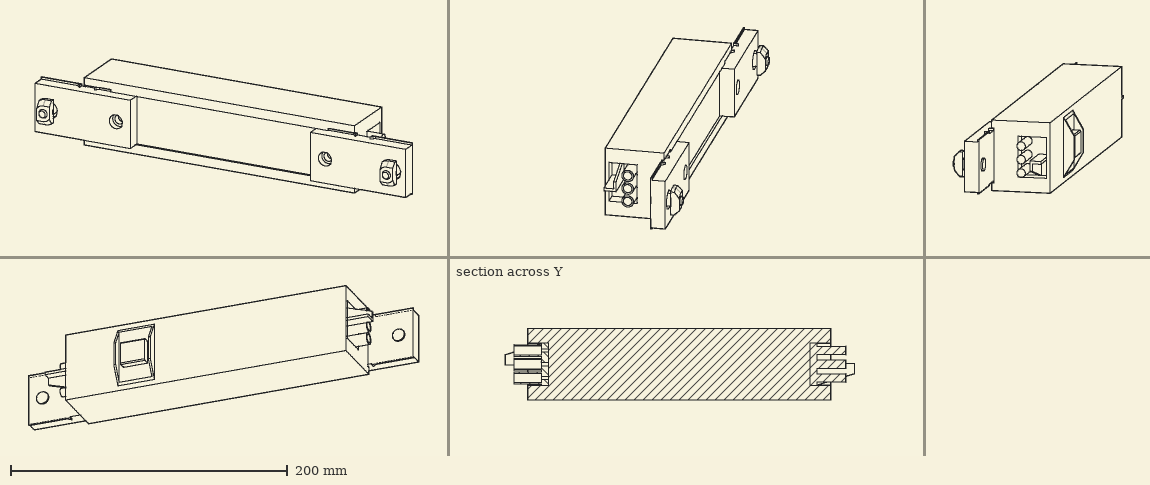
import cadquery as cq

overall_length = 300.5

housing_length = 219.0
housing_depth = 43.5
housing_height = 52.0
housing_center_x = -5.5
housing_left = housing_center_x - housing_length / 2
housing_right = housing_center_x + housing_length / 2

plate_length = 77.2
plate_height = 37.2
plate_seat_depth = 1.8
plate_front = -9.0

flange_top = 20.0
flange_bottom = -19.5
flange_thickness = 1.0
flange_pocket_height = 40.5
flange_pocket_length = 21.3
flange_gap_inner = 105.7
flange_gap_outer = 117.7
ear_length = 2.7
ear_tip_y = -1.8

counterbore_depth = 5.5
mount_hole_x = 84.7
mount_hole_diameter = 7.0
mount_counterbore_diameter = 10.5

bolt_x = 139.0
bolt_diameter = 9.3
bolt_rear = 3.0
bolt_counterbore_diameter = 13.8
bolt_tip_front = -19.5
bolt_tip_base_diameter = 6.5
bolt_tip_diameter = 5.0

nut_rear = -11.7
nut_taper_start = -14.5
nut_front = -18.0
nut_half_width = 5.0
nut_half_length = 9.5
nut_front_half_length = 6.0

socket_width = 21.0
socket_height = 30.0
socket_open_depth = 10.0
connector_base_thickness = 5.0
socket_front = 19.8
socket_rear = socket_front + socket_width

pole_count = 3
pole_pitch = 10.0
pole_y = 24.5
sleeve_length = 10.0
sleeve_diameter = 8.7
sleeve_bore = 6.3
contact_bore = 2.0
pin_length = 10.8
pin_diameter = 6.3

female_latch_length = 16.2
female_latch_front = 31.8
male_latch_length = 17.0
male_latch_front = 32.7
latch_bottom = -0.5
latch_top = 1.5
latch_web_thickness = 1.8
latch_web_tip = 7.0

clip_center_x = 49.0
clip_width = 28.5
clip_base_height = 44.2
clip_tip_height = 17.5
clip_depth = 7.8
clip_base_depth = 1.2
clip_ear_width = 1.5
clip_block_width = 19.0
clip_block_depth = 7.2
clip_block_chamfer = 1.0


def box(x_min, x_max, y_min, y_max, z_min, z_max):
    size = (x_max - x_min, y_max - y_min, z_max - z_min)
    return cq.Workplane("XY").box(*size, centered=False).translate((x_min, y_min, z_min))


def tall_box(x_min, x_max, y_min, y_max, height):
    """Box centred on Z = 0."""
    return box(x_min, x_max, y_min, y_max, -height / 2, height / 2)


def rod_along_y(x, y_front, y_rear, diameter):
    rod = cq.Workplane("XZ").circle(diameter / 2).extrude(y_front - y_rear)
    return rod.translate((x, y_front, 0))


def make_clip():
    """Trapezoidal saddle: a low base, a thin ear at each end and a block between them."""
    half_base = clip_base_height / 2
    half_tip = clip_tip_height / 2
    left = clip_center_x - clip_width / 2
    right = clip_center_x + clip_width / 2
    tip_y = housing_depth + clip_depth
    saddle = (
        cq.Workplane("YZ")
        .moveTo(housing_depth, -half_base)
        .lineTo(tip_y, -half_tip)
        .lineTo(tip_y, half_tip)
        .lineTo(housing_depth, half_base)
        .close()
        .extrude(clip_width)
        .translate((left, 0, 0))
    )
    gap = tall_box(
        left + clip_ear_width, right - clip_ear_width,
        housing_depth + clip_base_depth, tip_y, clip_base_height,
    )
    block = tall_box(
        clip_center_x - clip_block_width / 2, clip_center_x + clip_block_width / 2,
        housing_depth, housing_depth + clip_block_depth, clip_tip_height,
    )
    block = block.faces(">Y").edges("|X").chamfer(clip_block_chamfer)
    return saddle.cut(gap).union(block)


def make_socket(side):
    """Recess volume; side is -1 (left end) or +1 (right end)."""
    depth = socket_open_depth + connector_base_thickness
    x_min = housing_left if side < 0 else housing_right - depth
    return tall_box(x_min, x_min + depth, socket_front, socket_rear, socket_height)


def make_housing():
    body = tall_box(housing_left, housing_right, 0, housing_depth, housing_height)
    channel = tall_box(housing_left, housing_right, 0, plate_seat_depth, plate_height)
    body = body.cut(channel)
    for pocket_left in (housing_left, housing_right - flange_pocket_length):
        pocket_right = pocket_left + flange_pocket_length
        body = body.cut(
            tall_box(pocket_left, pocket_right, 0, plate_seat_depth, flange_pocket_height)
        )
    for side in (-1, 1):
        body = body.cut(make_socket(side))
    return body.union(make_clip())


def flange_strip(x_gap, x_end):
    """Strip from its end at the gap to its far end, with an ear bent forward at the gap."""
    strip_front = plate_seat_depth - flange_thickness
    direction = 1 if x_end > x_gap else -1
    return (
        cq.Workplane("XY")
        .moveTo(x_end, plate_seat_depth)
        .lineTo(x_gap, plate_seat_depth)
        .lineTo(x_gap, ear_tip_y)
        .lineTo(x_gap + direction * ear_length, strip_front)
        .lineTo(x_end, strip_front)
        .close()
        .extrude(flange_top - flange_bottom)
        .translate((0, 0, flange_bottom))
    )


def make_plate(side):
    outer_x = side * overall_length / 2
    inner_x = outer_x - side * plate_length
    plate = tall_box(
        min(outer_x, inner_x), max(outer_x, inner_x), plate_front, plate_seat_depth, plate_height
    )
    housing_end = housing_left if side < 0 else housing_right
    pocket_end = housing_end - side * flange_pocket_length
    plate = plate.union(flange_strip(side * flange_gap_outer, outer_x))
    plate = plate.union(flange_strip(side * flange_gap_inner, pocket_end))

    counterbore_floor = plate_front + counterbore_depth
    holes = (
        (mount_hole_x, mount_hole_diameter, mount_counterbore_diameter),
        (bolt_x, bolt_diameter, bolt_counterbore_diameter),
    )
    for distance, diameter, counterbore_diameter in holes:
        hole_x = side * distance
        plate = plate.cut(rod_along_y(hole_x, plate_front, plate_seat_depth, diameter))
        plate = plate.cut(rod_along_y(hole_x, plate_front, counterbore_floor, counterbore_diameter))
    return plate


def nut_profile():
    """Upper half of the side profile, from the bolt axis outward."""
    return (
        cq.Workplane("YZ")
        .moveTo(nut_rear, 0)
        .lineTo(nut_rear, nut_half_length)
        .lineTo(nut_taper_start, nut_half_length)
        .lineTo(nut_front, nut_front_half_length)
        .lineTo(nut_front, 0)
        .close()
    )


def make_hammer_nut():
    """Tapered bar whose upper left and lower right quarters are turned about the bolt axis."""
    bar = nut_profile().extrude(nut_half_width, both=True)
    bar = bar.union(bar.mirror("XY"))
    turned = nut_profile().revolve(360, (0, 0, 0), (1, 0, 0))
    upper_left = box(-nut_half_width, 0, nut_front, nut_rear, 0, nut_half_length)
    lower_right = box(0, nut_half_width, nut_front, nut_rear, -nut_half_length, 0)
    rounded_quarters = upper_left.union(lower_right)
    return bar.cut(rounded_quarters).union(turned.intersect(rounded_quarters))


def make_bolt(side):
    shank = rod_along_y(0, nut_rear, bolt_rear, bolt_diameter)
    tip = (
        cq.Workplane("XZ", origin=(0, nut_front, 0))
        .circle(bolt_tip_base_diameter / 2)
        .workplane(offset=nut_front - bolt_tip_front)
        .circle(bolt_tip_diameter / 2)
        .loft()
    )
    return shank.union(make_hammer_nut()).union(tip).translate((side * bolt_x, 0, 0))


connector_face = housing_left + socket_open_depth


def make_base():
    return tall_box(
        connector_face, connector_face + connector_base_thickness,
        socket_front, socket_rear, socket_height,
    )


def make_latch(length, front):
    """Flat tongue stiffened by a tapering upright web along its front edge."""
    tip_x = housing_left - length
    tongue = box(tip_x, connector_face, front, socket_rear, latch_bottom, latch_top)
    web = (
        cq.Workplane("XZ", origin=(0, front, 0))
        .moveTo(connector_face, latch_bottom)
        .lineTo(tip_x, latch_bottom)
        .lineTo(tip_x, latch_web_tip)
        .lineTo(connector_face, socket_height / 2)
        .close()
        .extrude(-latch_web_thickness)
    )
    return tongue.union(web)


def make_poles(length, diameter, inner_x=connector_face):
    """Row of round rods from inner_x to the given length beyond the housing end."""
    middle = (pole_count - 1) / 2
    centers = [(pole_y, (index - middle) * pole_pitch) for index in range(pole_count)]
    return (
        cq.Workplane("YZ", origin=(inner_x, 0, 0))
        .pushPoints(centers)
        .circle(diameter / 2)
        .extrude(housing_left - length - inner_x)
    )


def make_female_connector():
    """Sleeves with a wide bore down to the base and a narrow contact hole through it."""
    connector = make_base().union(make_latch(female_latch_length, female_latch_front))
    connector = connector.union(make_poles(sleeve_length, sleeve_diameter))
    connector = connector.cut(make_poles(sleeve_length, sleeve_bore))
    base_back = connector_face + connector_base_thickness
    return connector.cut(make_poles(sleeve_length, contact_bore, base_back))


def make_male_connector():
    """Solid pins; the whole connector is turned half a turn about Y onto the right end."""
    connector = make_base().union(make_latch(male_latch_length, male_latch_front))
    connector = connector.union(make_poles(pin_length, pin_diameter))
    return connector.rotate((housing_center_x, 0, 0), (housing_center_x, 1, 0), 180)


housing = make_housing()
plates = [make_plate(side) for side in (-1, 1)]
bolts = [make_bolt(side) for side in (-1, 1)]
female_connector = make_female_connector()
male_connector = make_male_connector()

result = cq.Compound.makeCompound([
    housing.val(),
    *[plate.val() for plate in plates],
    *[bolt.val() for bolt in bolts],
    female_connector.val(),
    male_connector.val(),
])